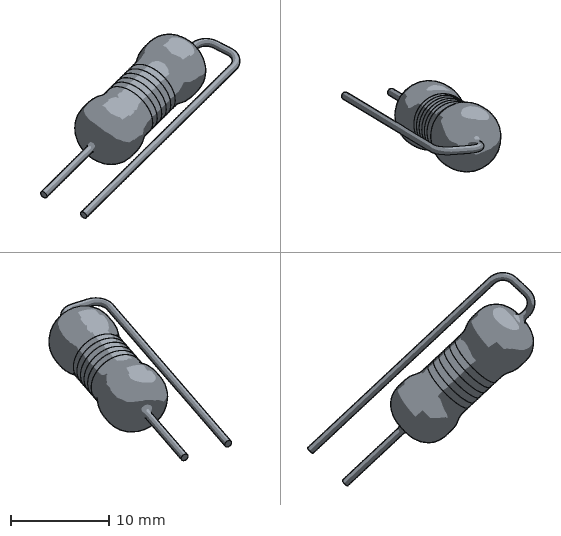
import cadquery as cq

OVERALL_LENGTH = 28.1

LEAD_DIAMETER = 0.8
LEAD_PITCH = 5.0
BEND_RADIUS = 1.6
STUB_LENGTH = 0.35

CAP_DIAMETER = 7.0
BODY_HALF_LENGTH = 8.25
CAP_ROUND_RADIUS = 2.45
CAP_LAND_LENGTH = 1.0

BAND_DIAMETER = 5.97
WAIST_DIAMETER = 5.95
WAIST_HALF_LENGTH = 2.75
BAND_COUNT = 7

lead_radius = LEAD_DIAMETER / 2
cap_radius = CAP_DIAMETER / 2
band_radius = BAND_DIAMETER / 2
waist_radius = WAIST_DIAMETER / 2

round_centre_radius = cap_radius - CAP_ROUND_RADIUS
flare_radius = round_centre_radius - lead_radius
flare_end_y = BODY_HALF_LENGTH + flare_radius

bend_start_y = flare_end_y + STUB_LENGTH
fold_y = bend_start_y + BEND_RADIUS
lead_tip_y = fold_y + lead_radius - OVERALL_LENGTH


def shoulder_radius(land_inner_y):
    """Return the radius of the two equal arcs spanning the shoulder's rise and run."""
    rise = cap_radius - band_radius
    run = land_inner_y - WAIST_HALF_LENGTH
    return (rise**2 + run**2) / (4 * rise)


def make_cap():
    """Revolve the +Y end cap, from the waist out to the tip of the lead flare."""
    land_outer_y = BODY_HALF_LENGTH - CAP_ROUND_RADIUS
    land_inner_y = land_outer_y - CAP_LAND_LENGTH
    shoulder_middle = (
        (band_radius + cap_radius) / 2,
        (WAIST_HALF_LENGTH + land_inner_y) / 2,
    )
    arc_radius = shoulder_radius(land_inner_y)
    profile = (
        cq.Workplane("XY")
        .moveTo(0, WAIST_HALF_LENGTH)
        .lineTo(band_radius, WAIST_HALF_LENGTH)
        .radiusArc(shoulder_middle, arc_radius)
        .radiusArc((cap_radius, land_inner_y), -arc_radius)
        .lineTo(cap_radius, land_outer_y)
        .radiusArc((round_centre_radius, BODY_HALF_LENGTH), -CAP_ROUND_RADIUS)
        .radiusArc((lead_radius, flare_end_y), flare_radius)
        .lineTo(0, flare_end_y)
        .close()
    )
    return profile.revolve(360, (0, 0, 0), (0, 1, 0))


def rod_along_y(radius, start_y, end_y):
    """Return a round rod on the Y axis between two Y positions."""
    start = cq.Vector(0, start_y, 0)
    direction = cq.Vector(0, 1, 0)
    return cq.Workplane(cq.Solid.makeCylinder(radius, end_y - start_y, start, direction))


def make_waist():
    """Stack the bands of the waist, raised and plain in turn."""
    band_width = 2 * WAIST_HALF_LENGTH / BAND_COUNT
    waist = rod_along_y(waist_radius, -WAIST_HALF_LENGTH, WAIST_HALF_LENGTH)
    for index in range(0, BAND_COUNT, 2):
        start_y = index * band_width - WAIST_HALF_LENGTH
        waist = waist.union(rod_along_y(band_radius, start_y, start_y + band_width))
    return waist


def make_folded_lead():
    """Sweep the +Y lead around its two bends and back past the body."""
    path = (
        cq.Workplane("XY")
        .moveTo(0, flare_end_y)
        .lineTo(0, bend_start_y)
        .radiusArc((BEND_RADIUS, fold_y), BEND_RADIUS)
        .lineTo(LEAD_PITCH - BEND_RADIUS, fold_y)
        .radiusArc((LEAD_PITCH, bend_start_y), BEND_RADIUS)
        .lineTo(LEAD_PITCH, lead_tip_y)
    )
    start_plane = cq.Plane(origin=(0, flare_end_y, 0), xDir=(1, 0, 0), normal=(0, 1, 0))
    return cq.Workplane(start_plane).circle(lead_radius).sweep(path)


cap = make_cap()
straight_lead = rod_along_y(lead_radius, lead_tip_y, -flare_end_y)

result = (
    make_waist()
    .union(cap)
    .union(cap.mirror("XZ"))
    .union(straight_lead)
    .union(make_folded_lead())
)